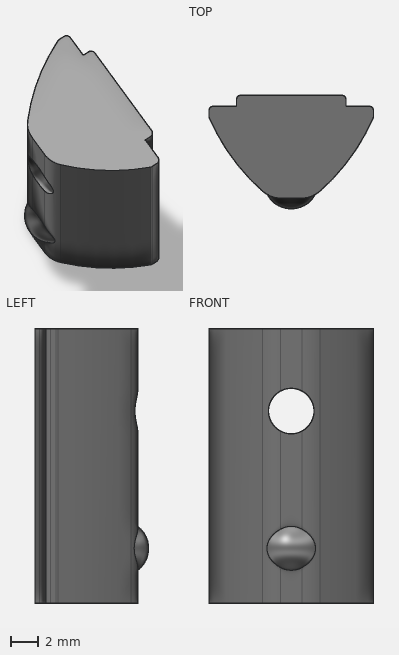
import cadquery as cq

length = 20.0
width = 12.0
depth = 7.5
tongue_width = 8.0
tongue_height = 0.8
side_height = 0.82
nose_width = 3.02
flank_radius = 15.4
shoulder_fillet = 0.35
nose_fillet = 2.0

bore_diameter = 3.3
bore_z = 14.0

ball_radius = 2.0
ball_protrusion = 0.8
ball_z = 4.0

shoulder_y = depth - tongue_height
flank_top_y = shoulder_y - side_height


def make_body():
    """Extrude the slot profile and round its outer long edges."""
    half_width = width / 2
    half_nose = nose_width / 2
    half_tongue = tongue_width / 2
    body = (
        cq.Workplane("XY")
        .moveTo(-half_nose, 0)
        .lineTo(half_nose, 0)
        .radiusArc((half_width, flank_top_y), -flank_radius)
        .lineTo(half_width, shoulder_y)
        .lineTo(half_tongue, shoulder_y)
        .lineTo(half_tongue, depth)
        .lineTo(-half_tongue, depth)
        .lineTo(-half_tongue, shoulder_y)
        .lineTo(-half_width, shoulder_y)
        .lineTo(-half_width, flank_top_y)
        .radiusArc((-half_nose, 0), -flank_radius)
        .close()
        .extrude(length)
    )
    shoulder_corners = [
        (half_width, flank_top_y),
        (half_width, shoulder_y),
        (half_tongue, depth),
    ]
    body = round_edge_pairs(body, shoulder_corners, shoulder_fillet)
    return round_edge_pairs(body, [(half_nose, 0)], nose_fillet)


def round_edge_pairs(body, corners, radius):
    """Fillet the long edges at the given corners on both sides of the centre plane."""
    for x, y in corners:
        for side in (-1, 1):
            edge_middle = (side * x, y, length / 2)
            body = body.edges(cq.NearestToPointSelector(edge_middle)).fillet(radius)
    return body


def make_bore():
    return (
        cq.Workplane("XZ", origin=(0, depth, bore_z))
        .circle(bore_diameter / 2)
        .extrude(depth)
    )


def make_ball():
    ball_y = ball_radius - ball_protrusion
    return cq.Workplane("XY").sphere(ball_radius).translate((0, ball_y, ball_z))


result = make_body().cut(make_bore()).union(make_ball())